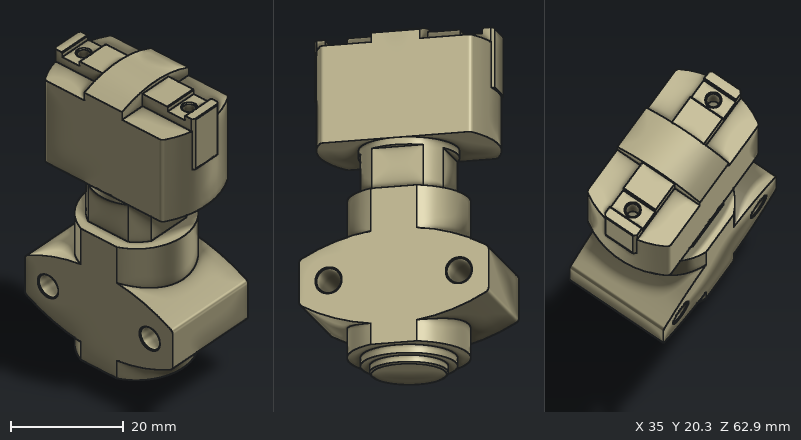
import cadquery as cq
import math

plug_collar_base_z = 1.5
housing_base_z = 3.0
flange_center_z = 15.5
housing_top_z = 31.9
stem_collar_base_z = 40.0
head_base_z = 41.35
shoulder_z = 59.35
crown_edge_z = 61.05
crown_top_z = 62.9

plug_collar_diameter = 17.3
plug_tip_diameter = 14.0
plug_chamfer = 0.3

barrel_diameter = 22.0
housing_depth = 20.3
flange_length = 35.0
flange_arc_radius = 35.0
flange_half_height = 8.8
flange_corner_radius = 1.0
mount_hole_diameter = 4.5
mount_hole_offset = 12.0
mount_hole_chamfer = 0.2

stem_diameter = 18.0
stem_across_flats = 15.3

head_arc_radius = 16.5
head_depth = 18.0
head_corner_radius = 1.0
crown_width = 8.95

strip_half_length = 16.6
strip_width = 7.0
strip_base_z = 50.9
strip_top_z = 62.05
strip_corner_chamfer = 0.55
strip_edge_chamfer = 0.1
notch_width = 4.0
notch_floor_z = crown_edge_z
screw_hole_offset = 12.45
screw_hole_diameter = 2.45
screw_hole_depth = 5.05
screw_hole_chamfer = 0.25


def box_between(length, depth, base_z, top_z):
    """Box centred on the Z axis that spans two heights."""
    height = top_z - base_z
    return cq.Workplane("XY", origin=(0, 0, base_z)).box(
        length, depth, height, centered=(True, True, False)
    )


def cylinder_between(diameter, base_z, top_z):
    """Cylinder on the Z axis that spans two heights."""
    return cq.Workplane("XY", origin=(0, 0, base_z)).circle(diameter / 2).extrude(top_z - base_z)


def make_plug():
    collar = cylinder_between(plug_collar_diameter, plug_collar_base_z, housing_base_z)
    tip = cylinder_between(plug_tip_diameter, 0, plug_collar_base_z).faces("<Z").chamfer(plug_chamfer)
    return collar.union(tip)


def make_flange():
    """Flange bounded by two shallow arcs and cut square at both tips."""
    half_length = flange_length / 2
    arc_drop = flange_arc_radius - math.sqrt(flange_arc_radius**2 - half_length**2)
    tip_half_height = flange_half_height - arc_drop
    return (
        cq.Workplane("XZ", origin=(0, 0, flange_center_z))
        .moveTo(-half_length, tip_half_height)
        .threePointArc((0, flange_half_height), (half_length, tip_half_height))
        .lineTo(half_length, -tip_half_height)
        .threePointArc((0, -flange_half_height), (-half_length, -tip_half_height))
        .close()
        .extrude(housing_depth / 2, both=True)
        .edges("|Y")
        .fillet(flange_corner_radius)
    )


def make_mount_hole(center_x):
    """Through-hole cutter along Y, flared at both ends by the edge chamfers."""
    mouth_radius = mount_hole_diameter / 2 + mount_hole_chamfer
    hole = (
        cq.Workplane("XZ", origin=(center_x, 0, flange_center_z))
        .circle(mount_hole_diameter / 2)
        .extrude(housing_depth / 2, both=True)
    )
    for side in (-1, 1):
        flare = cq.Solid.makeCone(
            mouth_radius,
            mount_hole_diameter / 2,
            mount_hole_chamfer,
            pnt=cq.Vector(center_x, side * housing_depth / 2, flange_center_z),
            dir=cq.Vector(0, -side, 0),
        )
        hole = hole.union(cq.Workplane(flare))
    return hole


def make_housing():
    barrel = cylinder_between(barrel_diameter, housing_base_z, housing_top_z)
    flats = box_between(barrel_diameter, housing_depth, housing_base_z, housing_top_z)
    housing = barrel.intersect(flats).union(make_flange())
    for side in (-1, 1):
        housing = housing.cut(make_mount_hole(side * mount_hole_offset))
    return housing


def make_stem():
    collar = cylinder_between(stem_diameter, stem_collar_base_z, head_base_z)
    shank = cylinder_between(stem_diameter, housing_top_z, stem_collar_base_z)
    flats = box_between(stem_across_flats, stem_across_flats, housing_top_z, stem_collar_base_z)
    return shank.intersect(flats).union(collar)


def make_head_block():
    """Main block with flat long sides and rounded ends, up to the shoulders."""
    cylinder = cylinder_between(2 * head_arc_radius, head_base_z, shoulder_z)
    sides = box_between(2 * head_arc_radius, head_depth, head_base_z, shoulder_z)
    return cylinder.intersect(sides).edges("|Z").fillet(head_corner_radius)


def make_crown():
    """Bridge across the middle of the head with an arched top."""
    half_depth = head_depth / 2
    return (
        cq.Workplane("YZ")
        .moveTo(-half_depth, shoulder_z)
        .lineTo(-half_depth, crown_edge_z)
        .threePointArc((0, crown_top_z), (half_depth, crown_edge_z))
        .lineTo(half_depth, shoulder_z)
        .close()
        .extrude(crown_width / 2, both=True)
    )


def make_notch(center_x):
    """Notch cutter that widens at the top to bevel the upper edges of both walls."""
    half_width = notch_width / 2
    mouth_half_width = half_width + strip_edge_chamfer
    bevel_base_z = strip_top_z - strip_edge_chamfer
    return (
        cq.Workplane("XZ", origin=(center_x, 0, 0))
        .polyline([
            (-half_width, notch_floor_z),
            (half_width, notch_floor_z),
            (half_width, bevel_base_z),
            (mouth_half_width, strip_top_z),
            (-mouth_half_width, strip_top_z),
            (-half_width, bevel_base_z),
        ])
        .close()
        .extrude(strip_width / 2, both=True)
    )


def make_strip():
    """Strip with bevelled corners and edges and a notch over each screw hole."""
    strip = box_between(2 * strip_half_length, strip_width, strip_base_z, strip_top_z)
    strip = strip.edges("|Z").chamfer(strip_corner_chamfer)
    strip = strip.faces("<X or >X").edges("|Y").chamfer(strip_edge_chamfer)
    for side in (-1, 1):
        strip = strip.cut(make_notch(side * screw_hole_offset))
    return strip


def make_screw_hole(center_x):
    """Blind-hole cutter that is flared at the notch floor."""
    hole_radius = screw_hole_diameter / 2
    mouth_radius = hole_radius + screw_hole_chamfer
    return (
        cq.Workplane("XZ", origin=(center_x, 0, notch_floor_z))
        .polyline([
            (0, 0),
            (mouth_radius, 0),
            (hole_radius, -screw_hole_chamfer),
            (hole_radius, -screw_hole_depth),
            (0, -screw_hole_depth),
        ])
        .close()
        .revolve(360, (0, 0, 0), (0, 1, 0))
    )


def make_head():
    head = make_head_block().union(make_crown()).union(make_strip())
    for side in (-1, 1):
        head = head.cut(make_screw_hole(side * screw_hole_offset))
    return head


plug = make_plug()
housing = make_housing()
stem = make_stem()
head = make_head()

result = cq.Compound.makeCompound([plug.val(), housing.val(), stem.val(), head.val()])